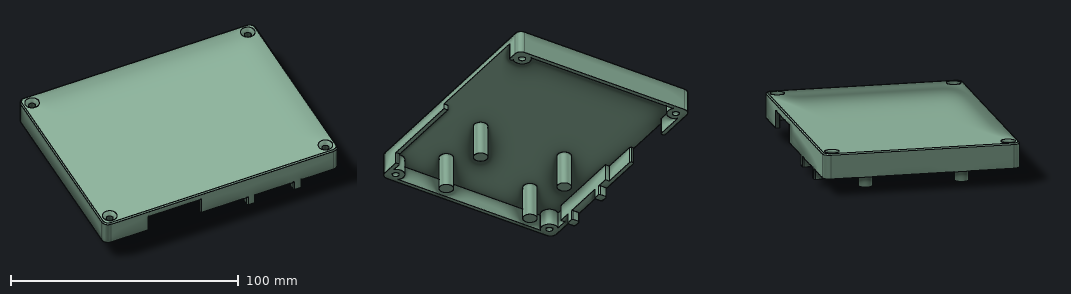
import cadquery as cq

lid_x = 88.9
lid_y = 114.3
lid_height = 11.4
wall = 2.0
plate = 3.4
corner_radius = 3.1
edge_chamfer = 0.6

screw_inset = 4.7
screw_diameter = 3.1
countersink_diameter = 6.4
countersink_angle = 90
boss_diameter = 8.0

post_diameter = 6.4
post_drop = 8.5
post_pitch_x = 43.3
post_pitch_y = 28.5
post_center_y = 25.3

opening_front_y = -49.0
opening_step_y = 4.9
opening_back_y = 44.7
low_opening_height = 5.5

slot_front_y = -35.4
slot_back_y = -10.5

thick_wall = 4.0
thick_length = 36.9
thick_center_y = 25.5
tab_drop = 4.7
tab_width = 4.1
tab_gap = 18.4

overlap = 0.6

half_x = lid_x / 2
half_y = lid_y / 2
wall_inner_x = half_x - wall
ceiling = lid_height - plate
screw_points = [
    (side_x * (half_x - screw_inset), side_y * (half_y - screw_inset))
    for side_x in (-1, 1)
    for side_y in (-1, 1)
]


def box_between(x0, x1, y0, y1, z0, z1):
    """Box given by its limits along each axis."""
    box = cq.Workplane("XY").box(x1 - x0, y1 - y0, z1 - z0, centered=False)
    return box.translate((x0, y0, z0))


def flared_cutter(x0, x1, y0, y1):
    """Cutter from below the rim to the ceiling through a wall between x0 and x1.

    Its ends chamfer the vertical edges of the opening at both wall faces; the
    45-degree flare continues past each face by one more chamfer length.
    """
    flare = 2 * edge_chamfer
    end_profile = [
        (x0 - edge_chamfer, -flare),
        (x0 + edge_chamfer, 0),
        (x1 - edge_chamfer, 0),
        (x1 + edge_chamfer, -flare),
    ]
    front = [(x, y0 + offset) for x, offset in end_profile]
    back = [(x, y1 - offset) for x, offset in reversed(end_profile)]
    base = cq.Workplane("XY").workplane(offset=-overlap)
    return base.polyline(front + back).close().extrude(ceiling + overlap)


lid = (
    cq.Workplane("XY")
    .rect(lid_x, lid_y)
    .extrude(lid_height)
    .edges("|Z")
    .fillet(corner_radius)
    .faces(">Z")
    .edges()
    .chamfer(edge_chamfer)
)
cavity = (
    cq.Workplane("XY")
    .rect(lid_x - 2 * wall, lid_y - 2 * wall)
    .extrude(ceiling)
    .edges("|Z")
    .fillet(corner_radius - wall)
)
lid = lid.cut(cavity)

opening = flared_cutter(-half_x, -wall_inner_x, opening_front_y, opening_back_y)
kept_wall = box_between(
    -half_x - wall, -wall_inner_x + wall, opening_step_y, half_y, low_opening_height, ceiling
)
lid = lid.cut(opening.cut(kept_wall))

lid = lid.cut(flared_cutter(wall_inner_x, half_x, slot_front_y, slot_back_y))

bosses = (
    cq.Workplane("XY")
    .pushPoints(screw_points)
    .circle(boss_diameter / 2)
    .extrude(ceiling + overlap)
)
lid = lid.union(bosses)

posts = (
    cq.Workplane("XY")
    .workplane(offset=-post_drop)
    .center(0, post_center_y)
    .rarray(post_pitch_x, post_pitch_y, 2, 2)
    .circle(post_diameter / 2)
    .extrude(post_drop + ceiling + overlap)
)
lid = lid.union(posts)

thick_inner_x = half_x - thick_wall
thick_front_y = thick_center_y - thick_length / 2
thick_back_y = thick_center_y + thick_length / 2
lid = lid.union(
    box_between(thick_inner_x, half_x, thick_front_y, thick_back_y, 0, ceiling + overlap)
)

for side in (-1, 1):
    tab_y = thick_center_y + side * (tab_gap + tab_width) / 2
    tab_front_y = tab_y - tab_width / 2
    tab_back_y = tab_y + tab_width / 2
    tab = box_between(thick_inner_x, half_x, tab_front_y, tab_back_y, -tab_drop, overlap)
    lid = lid.union(tab.edges("|Z").chamfer(edge_chamfer))

result = (
    lid.faces(">Z")
    .workplane(origin=(0, 0, lid_height))
    .pushPoints(screw_points)
    .cskHole(screw_diameter, countersink_diameter, countersink_angle)
)